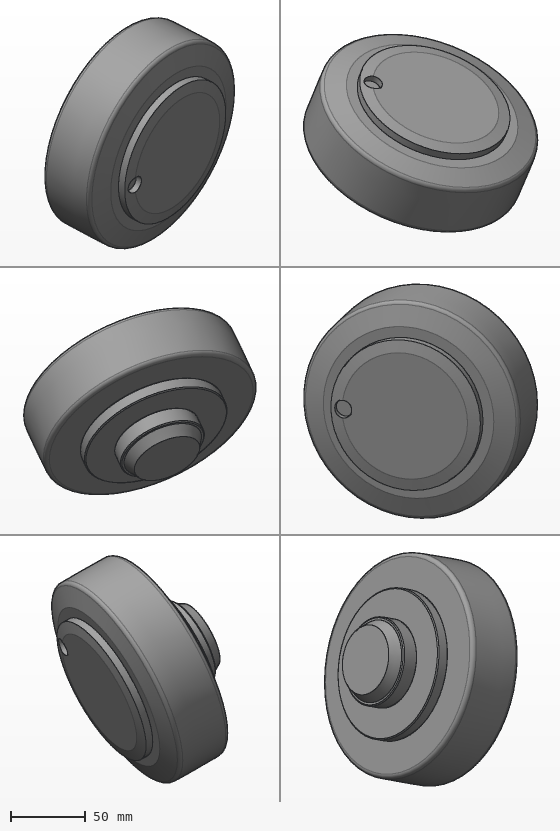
import cadquery as cq
import math


shaft_start = 7.7
flange_start = 19.7
tyre_start = 28.6
tyre_end = 74.1
rim_start = 74.7
rim_cone_start = 80.1
total_length = 82.0

nose_tip_radius = 23.7
nose_base_radius = 28.0
shaft_radius = 30.3
flange_radius = 103 / 2
neck_radius = 101.2 / 2
rim_radius = 106.0 / 2
rim_face_radius = 44.5
tyre_radius = 76.9
tyre_face_radius = 60.5

edge_chamfer = 0.8
tyre_fillet = 3.0
crown_drop = 0.2
tyre_cone_angle = math.radians(18)

hole_diameter = 12.5
hole_offset = 43.8
hole_depth = 4.6


def chamfered_band(profile, start, end, radius):
    """Add the outline of a cylinder with both edges chamfered."""
    return (
        profile.lineTo(start, radius - edge_chamfer)
        .lineTo(start + edge_chamfer, radius)
        .lineTo(end - edge_chamfer, radius)
        .lineTo(end, radius - edge_chamfer)
    )


def crowned_tyre(profile):
    """Add the slightly barrelled tread, its rounded shoulders and the conical far side."""
    shoulder_radius = tyre_radius - crown_drop
    fillet_centre_radius = shoulder_radius - tyre_fillet
    cone_edge_radius = fillet_centre_radius + tyre_fillet * math.sin(tyre_cone_angle)
    cone_edge = tyre_end - (cone_edge_radius - tyre_face_radius) * math.tan(tyre_cone_angle)
    far_centre = cone_edge - tyre_fillet * math.cos(tyre_cone_angle)
    near_centre = tyre_start + tyre_fillet

    near_mid_offset = tyre_fillet * math.sin(math.radians(45))
    far_mid_angle = (math.radians(90) + tyre_cone_angle) / 2
    return (
        profile.lineTo(tyre_start, fillet_centre_radius)
        .threePointArc(
            (near_centre - near_mid_offset, fillet_centre_radius + near_mid_offset),
            (near_centre, shoulder_radius),
        )
        .threePointArc(((near_centre + far_centre) / 2, tyre_radius), (far_centre, shoulder_radius))
        .threePointArc(
            (
                far_centre + tyre_fillet * math.cos(far_mid_angle),
                fillet_centre_radius + tyre_fillet * math.sin(far_mid_angle),
            ),
            (cone_edge, cone_edge_radius),
        )
        .lineTo(tyre_end, tyre_face_radius)
    )


def roller_body():
    """Revolve the half outline of the pin, flange, tyre and rim."""
    profile = (
        cq.Workplane("XY")
        .moveTo(0, 0)
        .lineTo(0, nose_tip_radius)
        .lineTo(shaft_start, nose_base_radius)
    )
    profile = chamfered_band(profile, shaft_start, flange_start, shaft_radius)
    profile = chamfered_band(profile, flange_start, tyre_start, flange_radius)
    profile = crowned_tyre(profile)
    profile = (
        profile.lineTo(tyre_end, neck_radius)
        .lineTo(rim_start, neck_radius)
        .lineTo(rim_start, rim_radius)
        .lineTo(rim_cone_start, rim_radius)
        .lineTo(total_length, rim_face_radius)
        .lineTo(total_length, 0)
        .close()
    )
    return profile.revolve(360, (0, 0, 0), (1, 0, 0))


def rim_hole():
    """Axial hole tool entering from the +X face on the -Y side."""
    return (
        cq.Workplane("YZ", origin=(total_length - hole_depth, 0, 0))
        .center(-hole_offset, 0)
        .circle(hole_diameter / 2)
        .extrude(hole_depth)
    )


result = roller_body().cut(rim_hole())